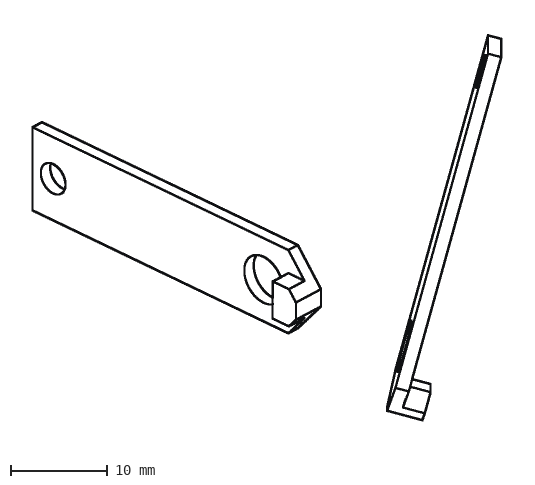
import cadquery as cq

length = 39.8
height = 10.0
depth = 3.8
strip_thickness = 1.45
taper_start = 36.5
tip_height = 2.05
block_height = 4.45
small_hole_diameter = 3.5
small_hole_x = 2.95
large_hole_diameter = 5.5
large_hole_x = 32.95

strip_back = depth / 2


def pointed_profile(thickness, back):
    """Strip outline centred on Z = 0, extruded toward -Y from the given back face."""
    outline = [
        (0, -height / 2),
        (taper_start, -height / 2),
        (length, -tip_height / 2),
        (length, tip_height / 2),
        (taper_start, height / 2),
        (0, height / 2),
    ]
    plane = cq.Workplane("XZ", origin=(0, back, 0))
    return plane.polyline(outline).close().extrude(thickness)


def end_block():
    """Block on the front of the point, trimmed to the tapered outline."""
    block = cq.Workplane("XY").box(
        length - taper_start, depth, block_height, centered=(False, True, True)
    ).translate((taper_start, 0, 0))
    return block.intersect(pointed_profile(depth, strip_back))


def through_hole(x, diameter):
    """Cutter through the strip on its centreline."""
    plane = cq.Workplane("XZ", origin=(x, strip_back, 0))
    return plane.circle(diameter / 2).extrude(strip_thickness)


strip = pointed_profile(strip_thickness, strip_back)
strip = strip.cut(through_hole(small_hole_x, small_hole_diameter))
strip = strip.cut(through_hole(large_hole_x, large_hole_diameter))

result = strip.union(end_block())